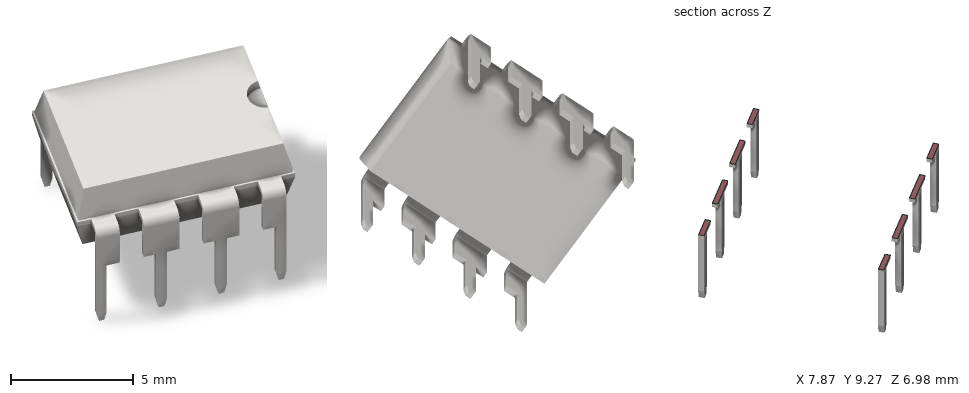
import cadquery as cq

body_length = 9.27
body_width = 6.35
half_height = 1.53
flange_thickness = 0.25
ledge = 0.07
top_inset = 0.38
bottom_inset = 0.315

notch_radius = 0.76
notch_inset = 0.3
notch_depth = 0.49

lead_span = 7.87
lead_thickness = flange_thickness
bend_outer_radius = 0.39
bend_inner_radius = 0.065
leads_per_side = 4
lead_pitch = 2.54
shoulder_width = 1.52
shoulder_drop = 2.16
pin_width = 0.45
end_pin_width = 0.43
tip_height = 0.445
tip_taper = 0.1

overall_height = 6.98
flange_top = overall_height - half_height
flange_bottom = flange_top - flange_thickness
shoulder_bottom = flange_top - shoulder_drop


def tapered_half(foot_inset, end_inset, start_z, direction):
    """Rectangular frustum rising (+1) or falling (-1) from start_z."""
    return (
        cq.Workplane("XY", origin=(0, 0, start_z))
        .rect(body_width - 2 * foot_inset, body_length - 2 * foot_inset)
        .workplane(offset=direction * half_height)
        .rect(body_width - 2 * end_inset, body_length - 2 * end_inset)
        .loft(ruled=True)
    )


def make_body():
    flange = (
        cq.Workplane("XY", origin=(0, 0, flange_bottom))
        .rect(body_width, body_length)
        .extrude(flange_thickness)
    )
    upper = tapered_half(ledge, top_inset, flange_top, 1)
    lower = tapered_half(0, bottom_inset, flange_bottom, -1)
    notch = (
        cq.Workplane("XY", origin=(0, body_length / 2 - notch_inset, overall_height - notch_depth))
        .circle(notch_radius)
        .extrude(notch_depth)
    )
    return flange.union(upper).union(lower).cut(notch)


def make_bent_strip():
    """Lead strip of the -X row, bent down from the flange, as long in Y as the body."""
    outer_x = -lead_span / 2
    inner_x = outer_x + lead_thickness
    wall_x = -body_width / 2
    strip = (
        cq.Workplane("XZ", origin=(0, body_length / 2, 0))
        .moveTo(wall_x, flange_top)
        .lineTo(outer_x, flange_top)
        .lineTo(outer_x, 0)
        .lineTo(inner_x, 0)
        .lineTo(inner_x, flange_bottom)
        .lineTo(wall_x, flange_bottom)
        .close()
        .extrude(body_length)
    )
    strip = strip.edges("|Y and <X and >Z").fillet(bend_outer_radius)
    inner_corner = cq.selectors.NearestToPointSelector((inner_x, 0, flange_bottom))
    return strip.edges("|Y").edges(inner_corner).fillet(bend_inner_radius)


def lead_outline(center_y, pin_low, pin_high, shoulder_low, shoulder_high):
    """Lead seen along X; each pair gives the -Y and +Y limits measured from center_y."""
    reach_out = (lead_span - body_width) / 2
    side_plane = cq.Workplane("YZ", origin=(-lead_span / 2, center_y, 0))
    pin = (
        side_plane.moveTo(pin_low, flange_top)
        .lineTo(pin_low, tip_height)
        .lineTo(pin_low + tip_taper, 0)
        .lineTo(pin_high - tip_taper, 0)
        .lineTo(pin_high, tip_height)
        .lineTo(pin_high, flange_top)
        .close()
        .extrude(reach_out)
    )
    shoulder = (
        side_plane.moveTo(shoulder_low, shoulder_bottom)
        .lineTo(shoulder_high, shoulder_bottom)
        .lineTo(shoulder_high, flange_top)
        .lineTo(shoulder_low, flange_top)
        .close()
        .extrude(reach_out)
    )
    return pin.union(shoulder)


def make_lead_row():
    """The -X row. An end lead is cut flush with the outer side of its pin, and its pin is slimmer."""
    half_pin = pin_width / 2
    half_shoulder = shoulder_width / 2
    end_pin_inner = end_pin_width - half_pin
    row_reach = (leads_per_side - 1) * lead_pitch / 2

    outlines = lead_outline(-row_reach, -half_pin, end_pin_inner, -half_pin, half_shoulder)
    outlines = outlines.union(
        lead_outline(row_reach, -end_pin_inner, half_pin, -half_shoulder, half_pin)
    )
    for index in range(1, leads_per_side - 1):
        lead_y = index * lead_pitch - row_reach
        outlines = outlines.union(
            lead_outline(lead_y, -half_pin, half_pin, -half_shoulder, half_shoulder)
        )
    return make_bent_strip().intersect(outlines)


lead_row = make_lead_row()
result = make_body().union(lead_row).union(lead_row.mirror("YZ")).clean()